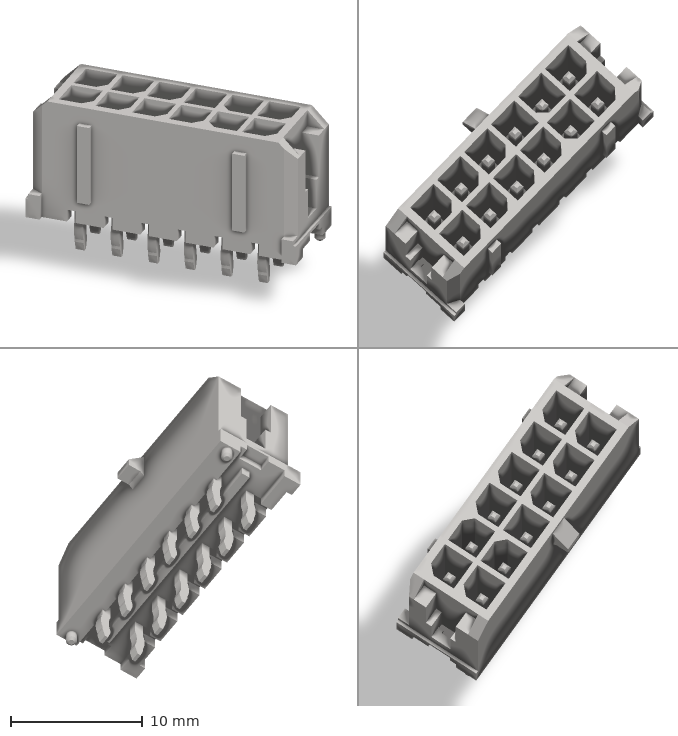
import cadquery as cq


FLANGE_LENGTH = 22.15
BODY_LENGTH = 21.68
BODY_DEPTH = 6.88
BODY_HEIGHT = 9.91
END_CHAMFER = 1.38
CORNER_CUT_X = 0.93
CORNER_CUT_Y = 0.52
FLANGE_HEIGHT = 1.6
FRONT_PROUD = 0.48
FOOT_HEIGHT = 2.0

RIB_WIDTH = 1.0
RIB_X = 6.35
RIB_TOP = BODY_HEIGHT - END_CHAMFER

PITCH = 3.0
ROW_MID_Y = 3.46
CELL_SIZE = 2.58
CELL_CORNER = 0.71
CELL_FLOOR = 2.0
LEFT, RIGHT, SQUARE = -1, 1, 0
FRONT_KEYS = [RIGHT, RIGHT, RIGHT, RIGHT, LEFT, RIGHT]
BACK_KEYS = [RIGHT, RIGHT, RIGHT, SQUARE, LEFT, RIGHT]
COLUMNS = len(FRONT_KEYS)
PIN_SIZE = 0.72
PIN_TOP = 7.5
PIN_POINT_HEIGHT = 0.3
PIN_POINT_SIZE = 0.3
TAIL_BOTTOM = -3.18
TAIL_BULGE = 0.15
TAIL_BULGE_TOP = -0.52
TAIL_BULGE_BOTTOM = -2.2
TAIL_TAPER_TOP = -2.45
TAIL_TIP_WIDTH = 0.28

CHANNEL_FRONT = 0.98
CHANNEL_BACK = 5.03
CHANNEL_HEIGHT = 0.74
SLOT_HEIGHT = 1.0
CENTRE_RIB_WIDTH = 0.7
END_NOTCH_WIDTH = 2.0
END_NOTCH_TOP = 1.34
END_NOTCH_DEPTH = 1.0

POCKET_WALL_X = BODY_LENGTH / 2 - END_CHAMFER
POCKET_STEPS = [(4.98, RIB_TOP), (2.74, 5.0), (1.74, 2.55)]
POCKET_FLOOR_WIDTH, POCKET_FLOOR = POCKET_STEPS[-1]
FLOOR_RECESS_DEPTH = 0.3
FLOOR_RECESS_X = 0.4
FLOOR_RECESS_TAB_X = 0.28
FLOOR_RECESS_TAB_WIDTH = 0.82

PEG_X = 10.5
PEG_Y = 5.9
PEG_DIAMETER = 0.86
PEG_LENGTH = 0.87
PEG_CHAMFER = 0.2

HOOK_WIDTH = 1.54
HOOK_REACH = 1.41
HOOK_TOP = 9.49
HOOK_NOSE_TOP = 8.14
HOOK_NOSE_BOTTOM = 7.4
HOOK_ROOT_CHAMFER = 0.35

SIDES = (-1, 1)


def box(x0, x1, y0, y1, z0, z1):
    corner = (min(x0, x1), min(y0, y1), min(z0, z1))
    return cq.Workplane("XY").box(abs(x1 - x0), abs(y1 - y0), abs(z1 - z0), centered=False).translate(corner)


def column_x(column):
    return (column - (COLUMNS - 1) / 2) * PITCH


def make_body():
    half = BODY_LENGTH / 2
    body = box(-half, half, 0, BODY_DEPTH, 0, BODY_HEIGHT)
    body = body.faces(">Z").edges("|Y").chamfer(END_CHAMFER)
    for side in SIDES:
        bevel = (
            cq.Workplane("XY")
            .polyline([
                (side * half, 0),
                (side * (half - CORNER_CUT_X), 0),
                (side * half, CORNER_CUT_Y),
            ])
            .close()
            .extrude(BODY_HEIGHT)
        )
        body = body.cut(bevel)
    return body


def add_flange_and_ribs(body):
    outer = FLANGE_LENGTH / 2
    half = BODY_LENGTH / 2
    foot_inner = half - CORNER_CUT_X
    for side in SIDES:
        body = body.union(box(side * foot_inner, side * outer, -FRONT_PROUD, BODY_DEPTH, 0, FLANGE_HEIGHT))
        body = body.union(box(side * foot_inner, side * half, -FRONT_PROUD, CORNER_CUT_Y, 0, FOOT_HEIGHT))
        rib_left = side * RIB_X - RIB_WIDTH / 2
        body = body.union(box(rib_left, rib_left + RIB_WIDTH, -FRONT_PROUD, 0, FOOT_HEIGHT, RIB_TOP))
    return body


def add_hook(body):
    hook = (
        cq.Workplane("YZ")
        .moveTo(BODY_DEPTH, HOOK_TOP)
        .lineTo(BODY_DEPTH + HOOK_REACH, HOOK_NOSE_TOP)
        .lineTo(BODY_DEPTH + HOOK_REACH, HOOK_NOSE_BOTTOM)
        .lineTo(BODY_DEPTH + HOOK_ROOT_CHAMFER, HOOK_NOSE_BOTTOM)
        .lineTo(BODY_DEPTH, HOOK_NOSE_BOTTOM - HOOK_ROOT_CHAMFER)
        .close()
        .extrude(HOOK_WIDTH / 2, both=True)
    )
    return body.union(hook)


def centred_box(x0, x1, width, z0, z1):
    """Block of the given Y width, centred between the two contact rows."""
    return box(x0, x1, ROW_MID_Y - width / 2, ROW_MID_Y + width / 2, z0, z1)


def cut_end_pockets(body):
    outer = FLANGE_LENGTH / 2
    recess_x = POCKET_WALL_X + FLOOR_RECESS_X
    tab_x = recess_x + FLOOR_RECESS_TAB_X
    recess_bottom = POCKET_FLOOR - FLOOR_RECESS_DEPTH
    for side in SIDES:
        wall = side * POCKET_WALL_X
        for width, bottom in POCKET_STEPS:
            body = body.cut(centred_box(wall, side * outer, width, bottom, BODY_HEIGHT))
        body = body.cut(centred_box(wall, side * recess_x, POCKET_FLOOR_WIDTH, recess_bottom, POCKET_FLOOR))
        body = body.cut(centred_box(wall, side * tab_x, FLOOR_RECESS_TAB_WIDTH, recess_bottom, POCKET_FLOOR))
    return body


def cut_underside(body):
    outer = FLANGE_LENGTH / 2
    body = body.cut(box(-outer, outer, CHANNEL_FRONT, CHANNEL_BACK, 0, CHANNEL_HEIGHT))
    for side in SIDES:
        inner = outer - END_NOTCH_DEPTH
        body = body.cut(centred_box(side * inner, side * outer, END_NOTCH_WIDTH, 0, END_NOTCH_TOP))
    for column in range(COLUMNS):
        x0 = column_x(column) - PIN_SIZE / 2
        body = body.cut(box(x0, x0 + PIN_SIZE, 0, ROW_MID_Y - PITCH / 2, 0, SLOT_HEIGHT))
    rib = centred_box(-POCKET_WALL_X, POCKET_WALL_X, CENTRE_RIB_WIDTH, 0, CHANNEL_HEIGHT)
    return body.union(rib)


def add_pegs(body):
    for side in SIDES:
        peg = (
            cq.Workplane("XY")
            .center(side * PEG_X, PEG_Y)
            .circle(PEG_DIAMETER / 2)
            .extrude(-PEG_LENGTH)
            .faces("<Z")
            .chamfer(PEG_CHAMFER)
        )
        body = body.union(peg)
    return body


def make_cell(x, y, key):
    half = CELL_SIZE / 2
    cell = box(x - half, x + half, y - half, y + half, CELL_FLOOR, BODY_HEIGHT)
    if key == RIGHT:
        cell = cell.edges("|Z and >X and <Y").chamfer(CELL_CORNER)
    elif key == LEFT:
        cell = cell.edges("|Z and <X and <Y").chamfer(CELL_CORNER)
    return cell


def make_pin(x, y, outward):
    """Square contact with a pointed top and a tail that bulges towards `outward` in Y."""
    half = PIN_SIZE / 2
    bulge_mid = (TAIL_BULGE_TOP + TAIL_BULGE_BOTTOM) / 2
    shoulder = PIN_TOP - PIN_POINT_HEIGHT
    pin = (
        cq.Workplane("YZ")
        .moveTo(-half, shoulder)
        .lineTo(-half, TAIL_BULGE_TOP)
        .threePointArc((-half + outward * TAIL_BULGE, bulge_mid), (-half, TAIL_BULGE_BOTTOM))
        .lineTo(-half, TAIL_TAPER_TOP)
        .lineTo(-TAIL_TIP_WIDTH / 2, TAIL_BOTTOM)
        .lineTo(TAIL_TIP_WIDTH / 2, TAIL_BOTTOM)
        .lineTo(half, TAIL_TAPER_TOP)
        .lineTo(half, TAIL_BULGE_BOTTOM)
        .threePointArc((half + outward * TAIL_BULGE, bulge_mid), (half, TAIL_BULGE_TOP))
        .lineTo(half, shoulder)
        .close()
        .extrude(half, both=True)
    )
    point = (
        cq.Workplane("XY", origin=(0, 0, shoulder))
        .rect(PIN_SIZE, PIN_SIZE)
        .workplane(offset=PIN_POINT_HEIGHT)
        .rect(PIN_POINT_SIZE, PIN_POINT_SIZE)
        .loft()
    )
    return pin.union(point).translate((x, y, 0))


def add_contacts(body):
    for outward, keys in ((-1, FRONT_KEYS), (1, BACK_KEYS)):
        y = ROW_MID_Y + outward * PITCH / 2
        for column, key in enumerate(keys):
            x = column_x(column)
            body = body.cut(make_cell(x, y, key)).union(make_pin(x, y, outward))
    return body


housing = add_flange_and_ribs(make_body())
housing = add_hook(housing)
housing = cut_end_pockets(housing)
housing = cut_underside(housing)
housing = add_pegs(housing)
result = add_contacts(housing)